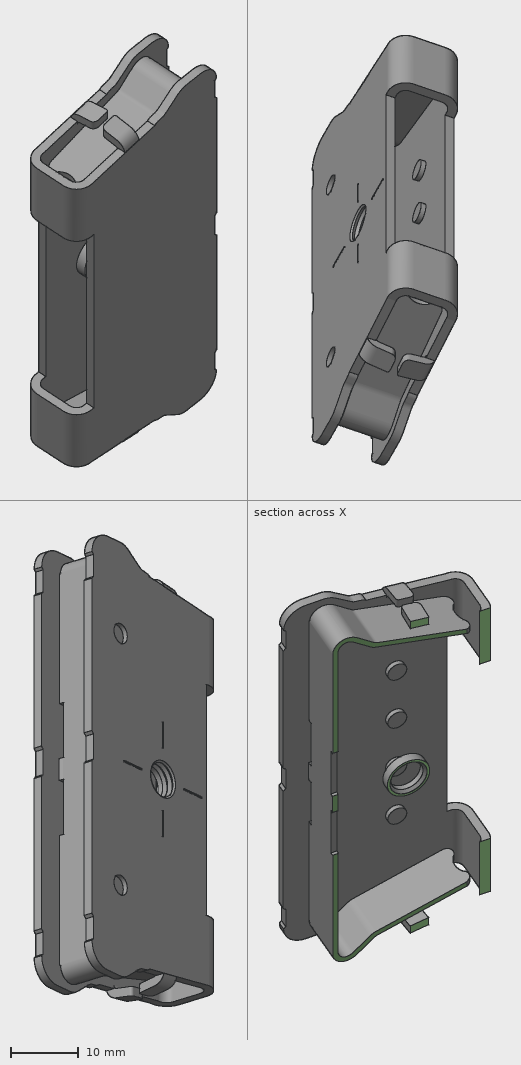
import cadquery as cq
import math

height = 69.0
depth = 30.4
width = 11.0
sheet = 1.45
bend_radius = 2.9
inner_width = width - 2 * sheet
wall_face = inner_width / 2

strap_top = 29.4
strap_bottom = 18.35
window_edge = 3.5

back_recess = 0.4
pad_low, pad_high = 2.4, 26.6
corner_radius = 3.6
corner_lip = 0.1

shoulder_start = (23.9, height / 2)
shoulder_end = (21.6, 33.7)
hollow_start = (19.2, 31.95)
hollow_end = (18.35, 31.7)
step_start = (17.5, 31.5)
step_end = (16.85, 31.2)
rim_kink = (6.6, 29.9)
rim_end = (3.1, strap_top)

tab_front = 10.4
tab_width = 3.05
tab_bend = 2.1
tab_bend_height = 29.8
tab_rise = 8.0
tab_tip = 0.6
tab_slope = 8.0
tab_front_corner = 0.9
tab_back_corner = 0.4

seat_y = 13.7
seat_diameter = 7.05
seat_length = 1.65
bore_diameter = 5.25
bore_chamfer = 0.3
thread_depth = 0.4
thread_pitch = 1.0
dimple_diameter = 3.1
dimple_depth = 0.75
dimple_y = 23.7
dimple_height = 20.0
stud_diameter = 3.1
stud_length = 0.75
stud_y = 12.1
stud_pitch = 9.95
stud_count = 4
mark_start = 5.0
mark_length = 4.15
mark_width = 0.2
mark_depth = 0.2

liner_sheet = 1.0
liner_back = 26.2
liner_top = 33.4
liner_bend = 2.35
ramp_radius = 2.7
ramp_angle = 38.5
ramp_end = 19.45
flange_angle = 14.0
flange_start = 18.85
side_gap = 0.2
notch_width = 0.75
notch_height = 10.5
ear_height = 1.7
ear_setback = 0.09
lobe_tip = 3.25
lobe_x = 2.7
lobe_radius = wall_face - side_gap - lobe_x
scallop_x, scallop_y = 1.65, 3.7
scallop_top = 4.2


def sloped(angle, run):
    """Height change over a horizontal run at an angle in degrees."""
    return run * math.tan(math.radians(angle))


def box(x0, x1, y0, y1, z0, z1):
    return cq.Workplane("XY").box(x1 - x0, y1 - y0, z1 - z0, centered=False).translate((x0, y0, z0))


def x_cylinder(x0, x1, diameter, y, z):
    return cq.Workplane("YZ").center(y, z).circle(diameter / 2).extrude(x1 - x0).translate((x0, 0, 0))


def mirrored_in_z(half):
    return half.union(half.mirror("XY"))


def side_profile():
    """Upper half of the shell seen from the side, from mid height to the top."""
    back = depth - back_recess
    corner_back = depth - corner_lip
    corner_y = corner_back - corner_radius
    corner_z = height / 2 - corner_radius
    diagonal = corner_radius * math.sqrt(0.5)
    return (
        cq.Workplane("YZ")
        .moveTo(0, 0)
        .lineTo(back, 0)
        .lineTo(back, pad_low - back_recess)
        .lineTo(depth, pad_low)
        .lineTo(depth, pad_high)
        .lineTo(back, pad_high + back_recess)
        .lineTo(back, corner_z - (back_recess - corner_lip))
        .lineTo(corner_back, corner_z)
        .threePointArc((corner_y + diagonal, corner_z + diagonal), (corner_y, height / 2))
        .lineTo(*shoulder_start)
        .tangentArcPoint(shoulder_end, relative=False)
        .lineTo(*hollow_start)
        .tangentArcPoint(hollow_end, relative=False)
        .lineTo(*step_start)
        .tangentArcPoint(step_end, relative=False)
        .lineTo(*rim_kink)
        .lineTo(*rim_end)
        .lineTo(0, strap_top)
        .close()
        .extrude(width / 2, both=True)
    )


def bent_sheet():
    """U section of the shell, running the whole height."""
    outside = box(-width / 2, width / 2, 0, depth, -height / 2, height / 2)
    outside = outside.edges("|Z and <Y").fillet(bend_radius)
    inside = box(-wall_face, wall_face, sheet, depth, -height / 2, height / 2)
    inside = inside.edges("|Z and <Y").fillet(bend_radius - sheet)
    return outside.cut(inside)


def tab():
    """Upper tab of the +X wall, folded inwards."""
    bend_x = width / 2 - tab_bend
    inner_bend = tab_bend - sheet
    end = math.radians(90 - tab_rise)
    middle = end / 2

    def on_bend(radius, angle):
        return (bend_x + radius * math.cos(angle), tab_bend_height + radius * math.sin(angle))

    def at_tip(radius):
        x, z = on_bend(radius, end)
        return (tab_tip, z + (x - tab_tip) * math.tan(math.radians(tab_rise)))

    folded = (
        cq.Workplane("XZ", origin=(0, tab_front, 0))
        .moveTo(*on_bend(tab_bend, 0))
        .threePointArc(on_bend(tab_bend, middle), on_bend(tab_bend, end))
        .lineTo(*at_tip(tab_bend))
        .lineTo(*at_tip(inner_bend))
        .lineTo(*on_bend(inner_bend, end))
        .threePointArc(on_bend(inner_bend, middle), on_bend(inner_bend, 0))
        .close()
        .extrude(2 * tab_width, both=True)
        .rotate((0, tab_front, tab_bend_height), (1, tab_front, tab_bend_height), tab_slope)
    )
    folded = folded.intersect(box(0, width / 2, tab_front, tab_front + tab_width, 0, height / 2))
    folded = folded.faces("<X").edges("<Y").fillet(tab_front_corner)
    return folded.faces("<X").edges(">Y").fillet(tab_back_corner)


def threaded_bore():
    """Chamfered bore with one V groove per thread pitch, along X."""
    mouth = -width / 2
    end = -wall_face + seat_length
    radius = bore_diameter / 2
    profile = (
        cq.Workplane("XY")
        .moveTo(mouth, 0)
        .lineTo(mouth, radius + bore_chamfer)
        .lineTo(mouth + bore_chamfer, radius)
    )
    grooves = int((end - mouth - bore_chamfer) / thread_pitch)
    for i in range(grooves):
        start = mouth + bore_chamfer + i * thread_pitch
        profile = profile.lineTo(start + thread_pitch / 2, radius + thread_depth)
        profile = profile.lineTo(start + thread_pitch, radius)
    profile = profile.lineTo(end, radius).lineTo(end, 0).close()
    return profile.revolve(360, (0, 0, 0), (1, 0, 0)).translate((0, seat_y, 0))


def centre_marks():
    """Four engraved lines around the bore on the -X face."""
    mark = box(
        -width / 2, -width / 2 + mark_depth,
        seat_y + mark_start, seat_y + mark_start + mark_length,
        -mark_width / 2, mark_width / 2,
    )
    marks = cq.Workplane("XY")
    for turn in range(4):
        marks = marks.add(mark.rotate((0, seat_y, 0), (1, seat_y, 0), 90 * turn))
    return marks.combine()


def build_shell():
    shell = bent_sheet().intersect(mirrored_in_z(side_profile()))
    shell = shell.cut(box(-width / 2, width / 2, 0, window_edge, -strap_bottom, strap_bottom))

    right_tabs = mirrored_in_z(tab())
    shell = shell.union(right_tabs).union(right_tabs.mirror("YZ"))

    shell = shell.union(x_cylinder(-wall_face, -wall_face + seat_length, seat_diameter, seat_y, 0))
    shell = shell.cut(threaded_bore())
    shell = shell.cut(centre_marks())
    for z in (-dimple_height, dimple_height):
        shell = shell.cut(x_cylinder(-width / 2, -width / 2 + dimple_depth, dimple_diameter, dimple_y, z))
    for i in range(stud_count):
        z = (i - (stud_count - 1) / 2) * stud_pitch
        shell = shell.union(x_cylinder(wall_face - stud_length, wall_face, stud_diameter, stud_y, z))
    return shell


def liner_outline():
    """Closed outline of the liner's outer face; it runs past the flange ends to y = 0."""
    crest_y = liner_back - liner_bend
    bend_z = liner_top - liner_bend
    diagonal = liner_bend * math.sqrt(0.5)
    ramp_start = crest_y - ramp_radius * math.sin(math.radians(ramp_angle))
    ramp_top = liner_top - ramp_radius * (1 - math.cos(math.radians(ramp_angle)))
    ramp_foot = ramp_top - sloped(ramp_angle, ramp_start - ramp_end)
    fillet_run = (ramp_end - flange_start) / 2
    flange_top = ramp_foot - sloped(ramp_angle, fillet_run) - sloped(flange_angle, fillet_run)
    front_z = flange_top - sloped(flange_angle, flange_start)

    return (
        cq.Workplane("YZ")
        .moveTo(0, -front_z)
        .lineTo(0, front_z)
        .lineTo(flange_start, flange_top)
        .tangentArcPoint((ramp_end, ramp_foot), relative=False)
        .lineTo(ramp_start, ramp_top)
        .tangentArcPoint((crest_y, liner_top), relative=False)
        .threePointArc((crest_y + diagonal, bend_z + diagonal), (liner_back, bend_z))
        .lineTo(liner_back, -bend_z)
        .threePointArc((crest_y + diagonal, -bend_z - diagonal), (crest_y, -liner_top))
        .tangentArcPoint((ramp_start, -ramp_top), relative=False)
        .lineTo(ramp_end, -ramp_foot)
        .tangentArcPoint((flange_start, -flange_top), relative=False)
        .close()
    )


def flange_plan():
    """Plan of the liner, with two lobes and a scallop at the front."""
    narrow = wall_face - side_gap
    lobe_y = lobe_tip + lobe_radius
    return (
        cq.Workplane("XY")
        .moveTo(narrow, lobe_y)
        .threePointArc((lobe_x, lobe_tip), (scallop_x, scallop_y))
        .threePointArc((0, scallop_top), (-scallop_x, scallop_y))
        .threePointArc((-lobe_x, lobe_tip), (-narrow, lobe_y))
        .lineTo(-narrow, liner_back - liner_sheet)
        .lineTo(-wall_face, liner_back - liner_sheet)
        .lineTo(-wall_face, depth)
        .lineTo(wall_face, depth)
        .lineTo(wall_face, liner_back - liner_sheet)
        .lineTo(narrow, liner_back - liner_sheet)
        .close()
        .extrude(height / 2, both=True)
    )


def front_silhouette():
    """Liner outline across X and Z: full width on the back panel, side clearance on the flanges."""
    bend_z = liner_top - liner_bend
    narrow = wall_face - side_gap
    upper = [(wall_face, bend_z), (narrow, bend_z + side_gap), (narrow, height / 2)]
    right = [(x, -z) for x, z in reversed(upper)] + upper
    left = [(-x, z) for x, z in reversed(right)]
    return cq.Workplane("XZ").polyline(right + left).close().extrude(-depth)


def ear():
    """Short ear in the middle of the +X notch, bent slightly backwards."""
    root = wall_face - notch_width
    front = liner_back - liner_sheet
    return (
        cq.Workplane("XY")
        .polyline([
            (root, front),
            (wall_face, front + ear_setback),
            (wall_face, liner_back + ear_setback),
            (root, liner_back),
        ])
        .close()
        .extrude(ear_height, both=True)
    )


def build_liner():
    outside = liner_outline().extrude(wall_face, both=True)
    inside = liner_outline().offset2D(-liner_sheet).extrude(wall_face, both=True)
    liner = outside.cut(inside).intersect(flange_plan()).intersect(front_silhouette())

    notch = box(wall_face - notch_width, wall_face, 0, depth, -notch_height, notch_height)
    liner = liner.cut(notch).cut(notch.mirror("YZ"))
    return liner.union(ear()).union(ear().mirror("YZ"))


shell = build_shell()
liner = build_liner()

result = cq.Compound.makeCompound([shell.val(), liner.val()])